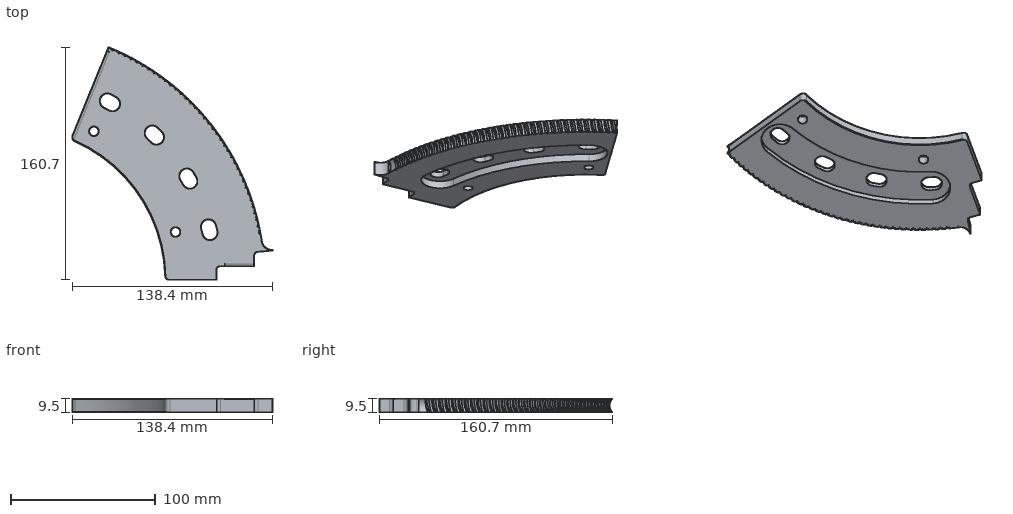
import cadquery as cq
import math


thickness = 9.5
center_x = -40.4
inner_radius = 104.7
rim_radius = 173.6
end_angle = 67.8
corner_radius = 3.2
bore_chamfer = 0.5

step_x = 99.8
ledge_y = 9.5
hook_root_x = 125.9
hook_root_y = 19.1
foot_fillet = 2.5
hook_tip_x = 138.5
hook_tip_y = 20.9
hook_tip_thickness = 0.6
hook_start_angle = 8.5
hook_hollow = (133.1, 22.8)

slot_count = 4
slot_circle_radius = 139.5
slot_first_angle = 14.4
slot_pitch_angle = 15.7
slot_width = 10.3
slot_length = 14.3
pin_circle_radius = 116.7
pin_diameter = 6.5
pin_angles = (16.5, 61.6)

channel_width = 25.7
slot_land = 4.2
channel_depth = thickness - slot_land

bevel_width = 1.6
bevel_depth = 0.4
end_bevel_outer_radius = 170.9
ledge_bevel_x = 105.5

throat_depth = 2.0
throat_start_angle = 9.0
throat_radius = ((thickness / 2) ** 2 + throat_depth**2) / (2 * throat_depth)
worm_axis_radius = rim_radius - throat_depth + throat_radius
tooth_pitch_angle = 1.55
tooth_depth = 0.6
gap_width = 2.9
helix_angle = 14.0
first_gap_angle = 11.2
gap_count = 37


def polar(radius, angle):
    """Point at a radius and angle about the wheel centre."""
    a = math.radians(angle)
    return (center_x + radius * math.cos(a), radius * math.sin(a))


def turned(body, angle):
    """Body turned about the wheel axis."""
    return body.rotate((center_x, 0, 0), (center_x, 0, 1), angle)


def nearest(x, y, z):
    """Selector for the edge whose middle is closest to a point."""
    return cq.selectors.NearestToPointSelector((x, y, z))


def make_blank():
    """Full-thickness plate with its bore chamfered and its corners rounded."""
    rim_mid_angle = (hook_start_angle + end_angle) / 2
    bore_mid = polar(inner_radius, end_angle / 2)
    blank = (
        cq.Workplane("XY")
        .moveTo(*polar(inner_radius, 0))
        .lineTo(step_x, 0)
        .lineTo(step_x, ledge_y)
        .lineTo(hook_root_x, ledge_y)
        .lineTo(hook_root_x, hook_root_y)
        .lineTo(hook_tip_x, hook_tip_y - hook_tip_thickness)
        .lineTo(hook_tip_x, hook_tip_y)
        .threePointArc(hook_hollow, polar(rim_radius, hook_start_angle))
        .threePointArc(polar(rim_radius, rim_mid_angle), polar(rim_radius, end_angle))
        .lineTo(*polar(inner_radius, end_angle))
        .threePointArc(bore_mid, polar(inner_radius, 0))
        .close()
        .extrude(thickness)
    )
    for z in (0, thickness):
        blank = blank.edges(nearest(*bore_mid, z)).chamfer(bore_chamfer)
    for x, y in ((step_x, ledge_y), (hook_root_x, hook_root_y)):
        blank = blank.edges(nearest(x, y, thickness / 2)).fillet(foot_fillet)
    for angle in (0, end_angle):
        corner = polar(inner_radius, angle)
        blank = blank.edges(nearest(*corner, thickness / 2)).fillet(corner_radius)
    return blank


def make_slots():
    """Slots lying along the slot circle."""
    slots = []
    for i in range(slot_count):
        angle = slot_first_angle + i * slot_pitch_angle
        center = polar(slot_circle_radius, angle)
        slot = cq.Workplane("XY").center(*center).slot2D(slot_length, slot_width, angle + 90)
        slots.append(slot.extrude(thickness))
    return slots


def make_pin_holes():
    """Round through holes on the pin circle."""
    centers = [polar(pin_circle_radius, angle) for angle in pin_angles]
    return cq.Workplane("XY").pushPoints(centers).circle(pin_diameter / 2).extrude(thickness)


def make_channel():
    """Round-ended arc channel following the slot circle from the first slot to the last."""
    start = slot_first_angle
    end = slot_first_angle + (slot_count - 1) * slot_pitch_angle
    middle = (start + end) / 2
    outer = slot_circle_radius + channel_width / 2
    inner = slot_circle_radius - channel_width / 2
    cap_angle = math.degrees(channel_width / 2 / slot_circle_radius)
    return (
        cq.Workplane("XY")
        .moveTo(*polar(inner, start))
        .threePointArc(polar(slot_circle_radius, start - cap_angle), polar(outer, start))
        .threePointArc(polar(outer, middle), polar(outer, end))
        .threePointArc(polar(slot_circle_radius, end + cap_angle), polar(inner, end))
        .threePointArc(polar(inner, middle), polar(inner, start))
        .close()
        .extrude(channel_depth)
    )


def make_bevel(length):
    """Wedge along +X from the origin that bevels the top edge of a body on its +Y side."""
    return (
        cq.Workplane("YZ")
        .polyline([(0, thickness), (bevel_width, thickness), (0, thickness - bevel_depth)])
        .close()
        .extrude(length)
    )


def make_end_bevel():
    """Bevel along the radial end, from the bore almost to the rim."""
    wedge = make_bevel(end_bevel_outer_radius - inner_radius).mirror("XZ")
    return turned(wedge.translate((center_x + inner_radius, 0, 0)), end_angle)


def make_ledge_bevel():
    """Bevel along the ledge, up to the root of the hook."""
    return make_bevel(hook_root_x - ledge_bevel_x).translate((ledge_bevel_x, ledge_y, 0))


def make_throat():
    """Ring of the worm's round section that hollows the rim."""
    sweep_angle = end_angle - throat_start_angle + tooth_pitch_angle
    ring = (
        cq.Workplane("XZ", origin=(center_x, 0, thickness / 2))
        .center(worm_axis_radius, 0)
        .circle(throat_radius)
        .revolve(sweep_angle, (-worm_axis_radius, 0), (-worm_axis_radius, -1))
    )
    return turned(ring, throat_start_angle + sweep_angle)


def make_gaps():
    """Sharp-edged discs on the worm axis, tilted to the helix, one for each tooth gap."""
    half_gap = gap_width / 2
    root_radius = throat_radius + tooth_depth
    section = [
        (0, -half_gap),
        (throat_radius, -half_gap),
        (root_radius, 0),
        (throat_radius, half_gap),
        (0, half_gap),
    ]
    disc = cq.Workplane("XY").polyline(section).close().revolve(360, (0, 0), (0, 1))
    disc = disc.rotate((0, 0, 0), (1, 0, 0), helix_angle)
    disc = disc.translate((center_x + worm_axis_radius, 0, thickness / 2))
    return [turned(disc, first_gap_angle + i * tooth_pitch_angle) for i in range(gap_count)]


result = make_blank()
for slot in make_slots():
    result = result.cut(slot)
result = result.cut(make_pin_holes())
result = result.cut(make_channel())
result = result.cut(make_end_bevel())
result = result.cut(make_ledge_bevel())
result = result.cut(make_throat())
gap_solids = [gap.val() for gap in make_gaps()]
result = cq.Workplane(result.val().cut(*gap_solids)).solids()